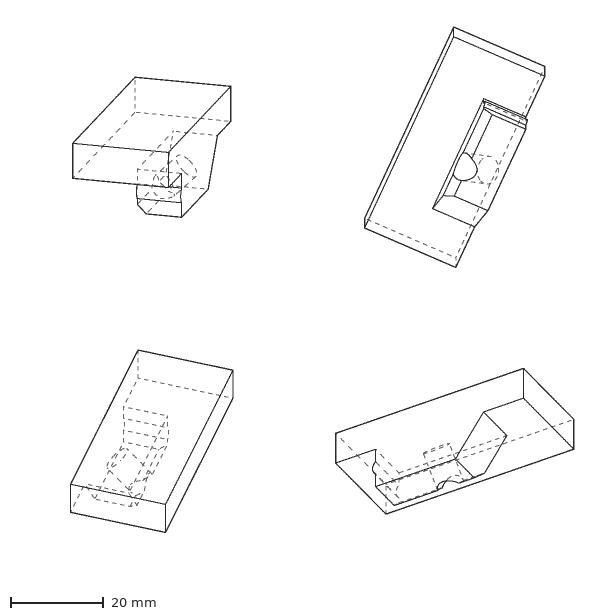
import cadquery as cq
import math

PLATE_LENGTH_X = 21.6
PLATE_LENGTH_Y = 47.0
PLATE_THICKNESS = 8.0

FOOT_WIDTH = 10.0
FOOT_HEIGHT = 10.0
FOOT_FRONT_Y = 10.0
FOOT_BOTTOM_LENGTH = 20.0
FOOT_BACK_ANGLE = 35.0
FOOT_CHAMFER = 2.0
FOOT_LEFT_X = PLATE_LENGTH_X - FOOT_WIDTH

RIB_RADIUS = 2.25
RIB_PROJECTION = 0.75
RIB_CENTER_Z = FOOT_HEIGHT / 2

HOLE_DIAMETER = 6.0
HOLE_CENTER_Y = PLATE_LENGTH_Y / 2
HOLE_DEPTH = 10.0
HOLE_LEAD_IN = 6.0


def make_plate():
    return cq.Workplane("XY", origin=(0, 0, FOOT_HEIGHT)).box(
        PLATE_LENGTH_X, PLATE_LENGTH_Y, PLATE_THICKNESS, centered=False
    )


def make_foot():
    bottom_back_y = FOOT_FRONT_Y + FOOT_BOTTOM_LENGTH
    top_back_y = bottom_back_y + FOOT_HEIGHT * math.tan(math.radians(FOOT_BACK_ANGLE))
    side_profile = [
        (FOOT_FRONT_Y, 0),
        (bottom_back_y, 0),
        (top_back_y, FOOT_HEIGHT),
        (FOOT_FRONT_Y, FOOT_HEIGHT),
    ]
    foot = (
        cq.Workplane("YZ", origin=(FOOT_LEFT_X, 0, 0))
        .polyline(side_profile)
        .close()
        .extrude(FOOT_WIDTH)
    )
    chamfer_cut = (
        cq.Workplane("XZ", origin=(FOOT_LEFT_X, 0, 0))
        .polyline([(0, 0), (FOOT_CHAMFER, 0), (0, FOOT_CHAMFER)])
        .close()
        .extrude(-PLATE_LENGTH_Y)
    )
    return foot.cut(chamfer_cut)


def make_rib():
    center_y = FOOT_FRONT_Y - RIB_PROJECTION + RIB_RADIUS
    return (
        cq.Workplane("YZ", origin=(FOOT_LEFT_X, 0, 0))
        .center(center_y, RIB_CENTER_Z)
        .circle(RIB_RADIUS)
        .extrude(FOOT_WIDTH)
    )


def make_hole():
    corner = cq.Vector(FOOT_LEFT_X, HOLE_CENTER_Y, 0)
    direction = cq.Vector(1, 0, 1).normalized()
    start = corner - direction * HOLE_LEAD_IN
    length = HOLE_LEAD_IN + HOLE_DEPTH
    return cq.Workplane(cq.Solid.makeCylinder(HOLE_DIAMETER / 2, length, start, direction))


result = make_plate().union(make_foot()).union(make_rib()).cut(make_hole())